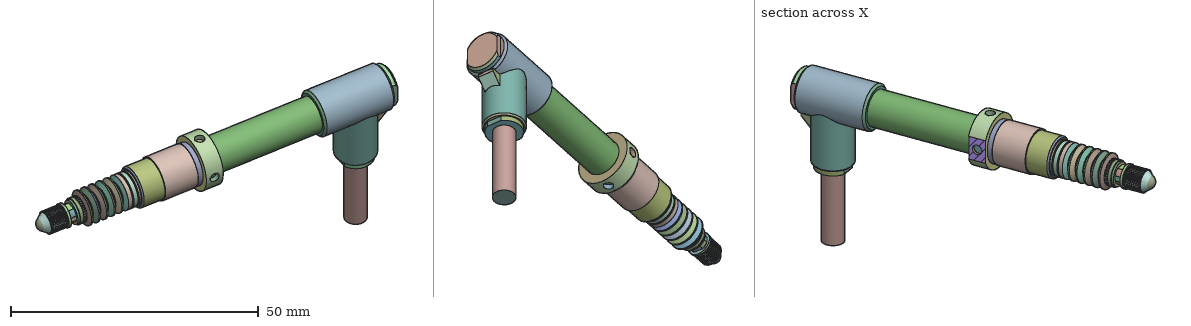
import cadquery as cq
import math


overall_length = 82.7
overall_height = 39.0

nose_y = 0.8
nose_diameter = 2.8
cone_end_y = 2.1
cone_end_diameter = 4.6
knurl_end_y = 5.8
knurl_diameter = 5.0
knurl_depth = 0.21
knurl_teeth = 40

flange_y = 6.0
flange_end_y = 6.6
flange_diameter = 5.3
flange_groove_diameter = 4.5
neck_end_y = 8.1
neck_diameter = 4.1
neck_flats_across_x = 4.0
neck_flats_across_z = 3.6

ring_end_y = 10.2
ring_diameter = 5.8
ring_chamfer = 0.25
ring_chamfer_length = 0.5
serration_length = 0.75
serration_depth = 0.2
serration_teeth = 34
pleat_count = 5
first_crest_y = 10.75
last_crest_y = 17.9
pleat_pitch = (last_crest_y - first_crest_y) / (pleat_count - 1)
pleat_crest_diameter = 7.7
pleat_crest_width = 0.3
pleat_root_diameter = 5.3
pleat_root_width = 0.2
cuff_diameter = 7.7
cuff_end_y = 22.25
cuff_taper_length = 0.5
cuff_groove_stations = (20.35, 21.6)
cuff_groove_width = 0.25
cuff_groove_depth = 0.12

bushing_end_y = 27.45
bushing_diameter = 9.0
bushing_chamfer = 0.3
sleeve_end_y = 35.15
sleeve_diameter = 9.6
relief_diameter = 9.4
collar_y = 36.3
collar_width = 4.0
collar_diameter = 12.0
collar_hole_diameter = 2.1
collar_hole_count = 4
tube_diameter = 7.9

head_y = 64.75
head_end_y = 81.4
head_diameter = 10.1
head_chamfer = 0.5
cap_diameter = 9.1
cap_chamfer = 0.5
cap_flats_across = 7.3

outlet_y = 74.9
outlet_diameter = 9.0
outlet_bottom_z = -15.05
outlet_chamfer = 0.3
nut_bottom_z = -16.2
nut_diameter = 7.85
nut_across_flats = 7.1
cable_diameter = 4.8
cable_bottom_z = collar_diameter / 2 - overall_height

gusset_width = 3.6
gusset_back_height = 0.25


def along_y(start_y, end_y, diameter):
    """Cylinder on the probe axis between two stations."""
    return (
        cq.Workplane("XZ", origin=(0, start_y, 0))
        .circle(diameter / 2)
        .extrude(start_y - end_y)
    )


def hanging_cylinder(bottom_z, diameter):
    """Cylinder on the outlet axis, from the probe axis down to bottom_z."""
    return (
        cq.Workplane("XY", origin=(0, outlet_y, 0))
        .circle(diameter / 2)
        .extrude(bottom_z)
    )


def revolve_profile(profile):
    """Revolve a half outline drawn as (radius, station) about the probe axis."""
    return profile.close().revolve(360, (0, 0, 0), (0, 1, 0))


def make_nose():
    """Spherical nose running into the cone."""
    nose_radius = nose_diameter / 2
    sphere_radius = (nose_radius**2 + nose_y**2) / (2 * nose_y)
    half_angle = math.asin(nose_radius / sphere_radius) / 2
    arc_middle = (
        sphere_radius * math.sin(half_angle),
        sphere_radius * (1 - math.cos(half_angle)),
    )
    profile = (
        cq.Workplane("XY")
        .moveTo(0, 0)
        .threePointArc(arc_middle, (nose_radius, nose_y))
        .lineTo(cone_end_diameter / 2, cone_end_y)
        .lineTo(0, cone_end_y)
    )
    return revolve_profile(profile)


def straight_knurl(start_y, end_y, diameter, tooth_depth, tooth_count):
    """Bar covered with sharp teeth that run along the probe axis."""
    radii = (diameter / 2, diameter / 2 - tooth_depth)
    step = math.pi / tooth_count
    points = [
        (radii[i % 2] * math.cos(i * step), radii[i % 2] * math.sin(i * step))
        for i in range(2 * tooth_count)
    ]
    return (
        cq.Workplane("XZ", origin=(0, start_y, 0))
        .polyline(points)
        .close()
        .extrude(start_y - end_y)
    )


def make_neck():
    """Round neck with two pairs of opposite flats."""
    length = neck_end_y - flange_end_y
    flats = cq.Workplane("XY").box(neck_flats_across_x, length, neck_flats_across_z)
    flats = flats.translate((0, flange_end_y + length / 2, 0))
    return along_y(flange_end_y, neck_end_y, neck_diameter).intersect(flats)


def make_bellows():
    """Chamfered, serrated end ring followed by the pleats and the grooved cuff."""
    ring_radius = ring_diameter / 2
    serration_y = ring_end_y - serration_length
    band_core_radius = ring_radius - 2 * serration_depth
    root_radius = pleat_root_diameter / 2
    crest_radius = pleat_crest_diameter / 2
    cuff_radius = cuff_diameter / 2
    points = [
        (0, neck_end_y),
        (ring_radius - ring_chamfer, neck_end_y),
        (ring_radius - ring_chamfer, neck_end_y + ring_chamfer_length),
        (ring_radius, neck_end_y + ring_chamfer_length),
        (ring_radius, serration_y),
        (band_core_radius, serration_y),
        (band_core_radius, ring_end_y),
    ]
    for i in range(pleat_count):
        crest_y = first_crest_y + i * pleat_pitch
        root_y = crest_y + pleat_pitch / 2
        points += [
            (crest_radius, crest_y - pleat_crest_width / 2),
            (crest_radius, crest_y + pleat_crest_width / 2),
            (root_radius, root_y - pleat_root_width / 2),
            (root_radius, root_y + pleat_root_width / 2),
        ]
    last_root_y = points[-1][1]
    points += [
        (cuff_radius, last_root_y + cuff_taper_length),
        (cuff_radius, cuff_end_y),
        (0, cuff_end_y),
    ]
    bellows = revolve_profile(cq.Workplane("XY").polyline(points))
    serration = straight_knurl(
        serration_y, ring_end_y, ring_diameter, serration_depth, serration_teeth
    )
    bellows = bellows.union(serration)
    for groove_y in cuff_groove_stations:
        groove_end_y = groove_y + cuff_groove_width
        floor = along_y(groove_y, groove_end_y, cuff_diameter - 2 * cuff_groove_depth)
        bellows = bellows.cut(along_y(groove_y, groove_end_y, collar_diameter).cut(floor))
    return bellows


def make_collar():
    """Clamp ring with radial spanner holes that stop at the sleeve surface."""
    collar = along_y(collar_y, collar_y + collar_width, collar_diameter)
    hole = (
        cq.Workplane("XY", origin=(0, collar_y + collar_width / 2, sleeve_diameter / 2))
        .circle(collar_hole_diameter / 2)
        .extrude(collar_diameter)
    )
    for i in range(collar_hole_count):
        angle = i * 360 / collar_hole_count
        collar = collar.cut(hole.rotate((0, 0, 0), (0, 1, 0), angle))
    return collar


def make_stem():
    """Bushing, sleeve with its relief, collar and rear tube."""
    bushing = along_y(cuff_end_y, bushing_end_y, bushing_diameter)
    stem = bushing.faces("<Y").chamfer(bushing_chamfer)
    stem = stem.union(along_y(bushing_end_y, sleeve_end_y, sleeve_diameter))
    stem = stem.union(along_y(sleeve_end_y, collar_y, relief_diameter))
    stem = stem.union(make_collar())
    return stem.union(along_y(collar_y + collar_width, head_y, tube_diameter))


def make_head():
    """Connector head and its rear cap with two side flats."""
    head = along_y(head_y, head_end_y, head_diameter).faces("<Y or >Y").chamfer(head_chamfer)
    cap = along_y(head_end_y, overall_length, cap_diameter).faces(">Y").chamfer(cap_chamfer)
    flats = cq.Workplane("XY", origin=(0, overall_length, 0))
    flats = flats.box(cap_flats_across, head_diameter, head_diameter)
    return head.union(cap.intersect(flats))


def make_outlet():
    """Outlet barrel, nut with two flats facing along the probe, and cable."""
    outlet = hanging_cylinder(outlet_bottom_z, outlet_diameter)
    outlet = outlet.faces("<Z").chamfer(outlet_chamfer)
    nut_height = outlet_bottom_z - nut_bottom_z
    nut_middle = (0, outlet_y, outlet_bottom_z - nut_height / 2)
    flats = cq.Workplane("XY", origin=nut_middle).box(nut_diameter, nut_across_flats, nut_height)
    nut = hanging_cylinder(nut_bottom_z, nut_diameter).intersect(flats)
    return outlet.union(nut).union(hanging_cylinder(cable_bottom_z, cable_diameter))


def make_gusset():
    """Web under the head, with a 45 degree lower edge running into the outlet."""
    corner_z = -head_diameter / 2 - gusset_back_height
    slope_run = head_end_y - outlet_y
    return (
        cq.Workplane("YZ")
        .moveTo(head_end_y, corner_z)
        .lineTo(outlet_y, corner_z - slope_run)
        .lineTo(outlet_y, 0)
        .lineTo(head_end_y - head_chamfer, 0)
        .lineTo(head_end_y - head_chamfer, head_chamfer - head_diameter / 2)
        .lineTo(head_end_y, head_chamfer - head_diameter / 2)
        .close()
        .extrude(gusset_width / 2, both=True)
    )


result = make_nose()
result = result.union(
    straight_knurl(cone_end_y, knurl_end_y, knurl_diameter, knurl_depth, knurl_teeth)
)
result = result.union(along_y(knurl_end_y, flange_y, flange_groove_diameter))
result = result.union(along_y(flange_y, flange_end_y, flange_diameter))
result = result.union(make_neck())
result = result.union(make_bellows())
result = result.union(make_stem())
result = result.union(make_head())
result = result.union(make_outlet())
result = result.union(make_gusset())